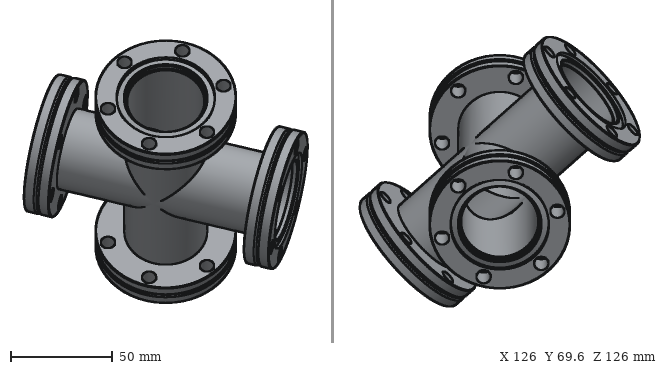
import cadquery as cq

span = 126.0
half_span = span / 2

tube_radius = 20.5
bore_radius = 19.0

flange_radius = 34.8
flange_thickness = 13.0
edge_chamfer = 0.4
groove_width = 2.5
groove_depth = 0.5
groove_center = flange_thickness / 2

recess_mouth_radius = 24.3
recess_floor_radius = 24.1
recess_depth = 1.6
knife_outer_radius = 21.2
knife_inner_radius = 20.7
knife_depth = 0.8
socket_radius = 20.0
knife_bevel_depth = 1.4
socket_depth = 3.7

bolt_count = 6
bolt_circle_radius = 29.4
bolt_diameter = 7.0


def flanged_arm():
    """Solid arm along +Z: tube from the centre, grooved flange and stepped sealing recess."""
    flange_back = half_span - flange_thickness
    groove_z = half_span - groove_center
    outline = [
        (0, 0),
        (tube_radius, 0),
        (tube_radius, flange_back),
        (flange_radius - edge_chamfer, flange_back),
        (flange_radius, flange_back + edge_chamfer),
        (flange_radius, groove_z - groove_width / 2),
        (flange_radius - groove_depth, groove_z),
        (flange_radius, groove_z + groove_width / 2),
        (flange_radius, half_span - edge_chamfer),
        (flange_radius - edge_chamfer, half_span),
        (recess_mouth_radius, half_span),
        (recess_floor_radius, half_span - recess_depth),
        (knife_outer_radius, half_span - knife_depth),
        (knife_inner_radius, half_span - knife_depth),
        (socket_radius, half_span - knife_bevel_depth),
        (socket_radius, half_span - socket_depth),
        (0, half_span - socket_depth),
    ]
    arm = cq.Workplane("XZ").polyline(outline).close().revolve(360, (0, 0, 0), (0, 1, 0))
    bolt_holes = (
        cq.Workplane("XY", origin=(0, 0, flange_back))
        .polarArray(bolt_circle_radius, 90, 360, bolt_count)
        .circle(bolt_diameter / 2)
        .extrude(flange_thickness)
    )
    return arm.cut(bolt_holes)


def bore():
    """Through bore along Z, full length of the cross."""
    return cq.Workplane("XY").circle(bore_radius).extrude(half_span, both=True)


result = flanged_arm()
for angle in (90, 180, 270):
    result = result.union(flanged_arm().rotate((0, 0, 0), (0, 1, 0), angle))

for angle in (0, 90):
    result = result.cut(bore().rotate((0, 0, 0), (0, 1, 0), angle))